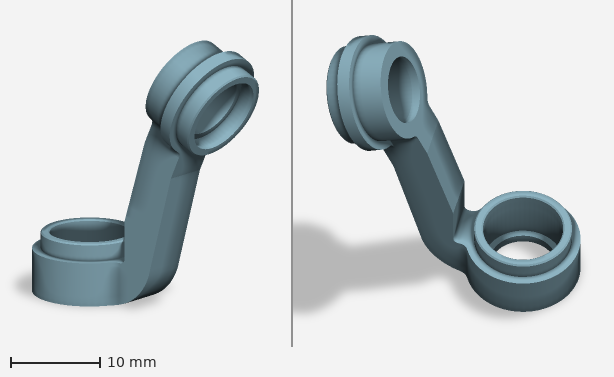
import cadquery as cq
import math

rim_radius = 6.45
neck_radius = 5.5
bore_radius = 4.5
hole_radius = 3.75
rim_height = 5.0
lower_height = 7.0
floor_thickness = 1.0
edge_chamfer = 0.15

tilt = 24.6
face_reach = 13.8
face_height = 27.12
flange_start = 3.5
flange_end = rim_height
upper_length = lower_height
lip_radius = hole_radius
lip_length = 1.0
upper_bore_radius = 3.8
counterbore_start = rim_height

arm_azimuth = 16.3
arm_width = 4.9
arm_lean = 15.5
inner_reach = 7.45
inner_bend_height = 10.1
inner_fillet = 0.65
bend_to_face = 8.03
root_fillet = 1.1
heel_reach = 5.98
heel_mid = (9.65, 1.95)
heel_top = (11.28, 5.1)


def cylinder(radius, start, end):
    return cq.Workplane("XY").workplane(offset=start).circle(radius).extrude(end - start)


def root(radius, start, end):
    """Slab that widens from the arm into a round of the given radius, with concave fillets."""
    half = arm_width / 2
    centre_y = half + root_fillet
    centre_x = math.sqrt((radius + root_fillet) ** 2 - centre_y ** 2)
    touch_x = centre_x * radius / (radius + root_fillet)
    touch_y = centre_y * radius / (radius + root_fillet)
    middle_angle = (math.atan2(-centre_y, -centre_x) - math.pi / 2) / 2
    middle_x = centre_x + root_fillet * math.cos(middle_angle)
    middle_y = centre_y + root_fillet * math.sin(middle_angle)
    return (
        cq.Workplane("XY")
        .workplane(offset=start)
        .moveTo(0, touch_y)
        .lineTo(touch_x, touch_y)
        .threePointArc((middle_x, middle_y), (centre_x, half))
        .lineTo(centre_x, -half)
        .threePointArc((middle_x, -middle_y), (touch_x, -touch_y))
        .lineTo(0, -touch_y)
        .close()
        .extrude(end - start)
    )


def tip(shape):
    """Move a shape from the Z axis to the upper ring, local Z running from its face into the ring."""
    turned = shape.rotate((0, 0, 0), (0, 1, 0), 90 + tilt)
    return turned.translate((face_reach, 0, face_height))


def ring_point(along_face, depth):
    """Point in the arm plane, measured up the ring face and along the ring axis."""
    angle = math.radians(tilt)
    reach = face_reach + along_face * math.sin(angle) + depth * math.cos(angle)
    height = face_height + along_face * math.cos(angle) - depth * math.sin(angle)
    return (reach, height)


def arm_profile(half_width):
    """Side outline of the arm, from the lower socket to the upper ring, spread across the arm plane."""
    corner_height = rim_height + inner_fillet
    fillet_mid = inner_fillet * math.sqrt(0.5)
    fillet_centre = inner_reach - inner_fillet
    lean = math.radians(arm_lean)
    angle = math.radians(tilt)
    back_reach, back_height = ring_point(0, flange_end)
    gap = heel_top[0] - back_reach + (back_height - heel_top[1]) * math.tan(lean)
    back_meeting = gap / (math.sin(angle) - math.cos(angle) * math.tan(lean))
    return (
        cq.Workplane("XZ")
        .moveTo(hole_radius, 0)
        .lineTo(heel_reach, 0)
        .threePointArc(heel_mid, heel_top)
        .lineTo(*ring_point(back_meeting, flange_end))
        .lineTo(*ring_point(0, flange_end))
        .lineTo(*ring_point(0, 0))
        .lineTo(*ring_point(-bend_to_face, 0))
        .lineTo(inner_reach, inner_bend_height)
        .lineTo(inner_reach, corner_height)
        .threePointArc((fillet_centre + fillet_mid, corner_height - fillet_mid), (fillet_centre, rim_height))
        .lineTo(hole_radius, rim_height)
        .close()
        .extrude(half_width, both=True)
    )


def lower_bore():
    """Through hole, wider bore above the floor, and the chamfer at the bore's mouth."""
    mouth = cq.Solid.makeCone(
        bore_radius,
        bore_radius + edge_chamfer,
        edge_chamfer,
        pnt=cq.Vector(0, 0, lower_height - edge_chamfer),
    )
    return (
        cylinder(hole_radius, 0, lower_height)
        .union(cylinder(bore_radius, floor_thickness, lower_height))
        .union(cq.Workplane(mouth))
    )


def upper_bore():
    """Slightly narrower lip at the face, the main bore, and a counterbore at the back."""
    return (
        cylinder(lip_radius, 0, lip_length)
        .union(cylinder(upper_bore_radius, lip_length, counterbore_start))
        .union(cylinder(bore_radius, counterbore_start, upper_length))
    )


def lower_socket():
    neck = cylinder(neck_radius, 0, lower_height).faces(">Z").chamfer(edge_chamfer)
    return neck.union(cylinder(rim_radius, 0, rim_height))


def upper_ring():
    """Flanged ring with its roots, which spread from the arm on the local +X side."""
    neck = cylinder(neck_radius, 0, upper_length).faces(">Z").chamfer(edge_chamfer)
    return (
        neck.union(cylinder(rim_radius, flange_start, flange_end))
        .union(root(neck_radius, 0, flange_end))
        .union(root(rim_radius, flange_start, flange_end))
    )


arm = arm_profile(arm_width / 2)
lower_root = root(rim_radius, 0, rim_height).intersect(arm_profile(rim_radius))

body = (
    arm.union(lower_socket())
    .union(lower_root)
    .union(tip(upper_ring()))
    .cut(lower_bore())
    .cut(tip(upper_bore()))
)

result = body.rotate((0, 0, 0), (0, 0, 1), arm_azimuth)